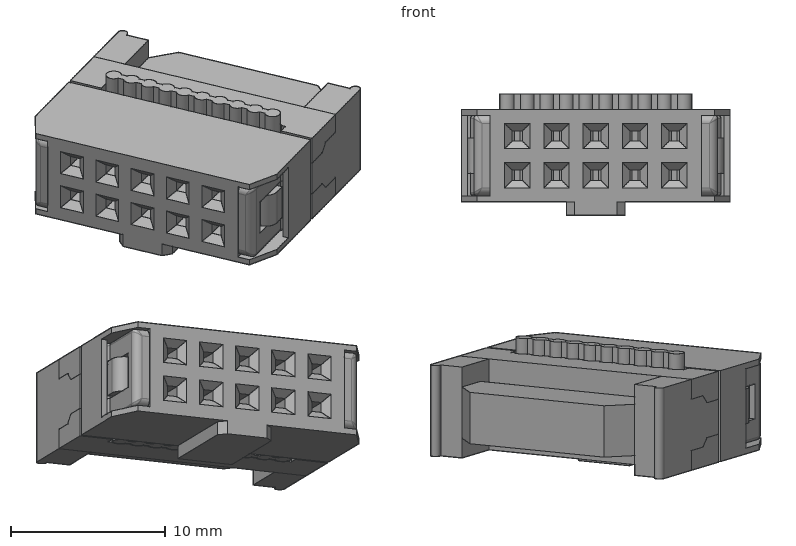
import cadquery as cq


WIDTH = 17.38
HALF_WIDTH = WIDTH / 2
HALF_HEIGHT = 2.99

HOUSING_DEPTH = 7.0
COVER_FRONT = 7.21
COVER_REAR = 10.7
BAR_FRONT = 11.8
RELIEF_REAR = 14.2
BAR_REAR = 15.7

CORNER_SETBACK_X = 1.0
CORNER_SETBACK_Y = 2.0
KEY_WIDTH = 3.79
KEY_HEIGHT = 0.87
KEY_CHAMFER = 0.5
POCKET_DEPTH = 3.68
SLOT_OUTER_INSET = 0.4

SOCKET_COLUMNS = 5
SOCKET_ROWS = 2
SOCKET_PITCH = 2.54
SOCKET_MOUTH = 1.63
SOCKET_BORE = 0.66
SOCKET_DEPTH = 3.48
SOCKET_END_WIDTH = 0.38
SOCKET_LEAD_IN = (SOCKET_MOUTH - SOCKET_BORE) / 2
SOCKET_END_TAPER = (SOCKET_BORE - SOCKET_END_WIDTH) / 2

TONGUE_HALF_HEIGHT = 2.6
TONGUE_ROOT_INSET = 0.59
TONGUE_INSET = 0.8
TONGUE_INNER_INSET = 1.85
TONGUE_TIP = 0.07
TONGUE_SLOPE_START = 4.17
TONGUE_SLOPE_END = 4.48
TONGUE_NOSE_RADIUS = 0.52
TONGUE_EDGE_RADIUS = 0.2

CABLE_SLOT_HALF_WIDTH = 6.45

ARM_INNER_INSET = 1.2
ARM_TIP = 2.03
HOOK_INSET = 0.4
HOOK_REAR = 3.6
ARM_WIDE_HALF_HEIGHT = 1.69
ARM_HALF_HEIGHT = 1.15
ARM_TAPER_START = 8.72
ARM_TAPER_END = 9.25
CHANNEL_FRONT = 1.15

BAR_HALF_HEIGHT = 1.69
BAR_REAR_HALF_WIDTH = 5.0
BEAD_RADIUS = 0.33
BEAD_CENTER_Y = 14.3

WIRE_COUNT = 10
WIRE_PITCH = 1.27
WIRE_RADIUS = 0.5
WIRE_CENTER_Y = HOUSING_DEPTH + WIRE_RADIUS
WEB_THICKNESS = 0.5
CABLE_TOP = 4.0
GROOVE_RADIUS = 0.59
CABLE_SLOT_REAR = 7.87


def box(x_range, y_range, z_range):
    """Axis-aligned block between the given limits."""
    x0, x1 = x_range
    y0, y1 = y_range
    z0, z1 = z_range
    return cq.Workplane("XY").box(x1 - x0, y1 - y0, z1 - z0, centered=False).translate((x0, y0, z0))


def plate(points, half_height):
    """Outline in XY extruded symmetrically about Z = 0."""
    return cq.Workplane("XY").polyline(points).close().extrude(half_height, both=True)


def both_sides(left):
    """A left-hand feature together with its mirror image."""
    return left.add(left.mirror("YZ")).combine()


def left_x(inset):
    """X of a plane lying the given distance inward from the left side face."""
    return inset - HALF_WIDTH


def wire_positions():
    """X of every wire axis."""
    first = -(WIRE_COUNT - 1) / 2 * WIRE_PITCH
    return [first + i * WIRE_PITCH for i in range(WIRE_COUNT)]


def housing_block():
    """Rectangular block with its two front corners cut back."""
    front_half_width = HALF_WIDTH - CORNER_SETBACK_X
    return plate(
        [
            (-HALF_WIDTH, HOUSING_DEPTH),
            (-HALF_WIDTH, CORNER_SETBACK_Y),
            (-front_half_width, 0),
            (front_half_width, 0),
            (HALF_WIDTH, CORNER_SETBACK_Y),
            (HALF_WIDTH, HOUSING_DEPTH),
        ],
        HALF_HEIGHT,
    )


def polarizing_key():
    """Key along the underside with chamfered front corners."""
    key = box(
        (-KEY_WIDTH / 2, KEY_WIDTH / 2),
        (0, HOUSING_DEPTH),
        (-HALF_HEIGHT - KEY_HEIGHT, -HALF_HEIGHT),
    )
    return key.edges("|Z and <Y").chamfer(KEY_CHAMFER)


def tongue_openings():
    """Open side pockets at the front and the slots leading to them from the rear."""
    z_range = (-TONGUE_HALF_HEIGHT, TONGUE_HALF_HEIGHT)
    inner = left_x(TONGUE_INNER_INSET)
    pocket = box((left_x(0), inner), (0, POCKET_DEPTH), z_range)
    slot = box((left_x(SLOT_OUTER_INSET), inner), (0, HOUSING_DEPTH), z_range)
    return both_sides(pocket.union(slot))


def socket():
    """Square contact hole: flared mouth, straight bore, end narrowed across X."""
    straight_end = SOCKET_DEPTH - SOCKET_END_TAPER
    mouth = (
        cq.Workplane("XZ")
        .rect(SOCKET_MOUTH, SOCKET_MOUTH)
        .workplane(offset=-SOCKET_LEAD_IN)
        .rect(SOCKET_BORE, SOCKET_BORE)
        .loft(ruled=True)
    )
    bore = plate(
        [
            (-SOCKET_BORE / 2, 0),
            (SOCKET_BORE / 2, 0),
            (SOCKET_BORE / 2, straight_end),
            (SOCKET_END_WIDTH / 2, SOCKET_DEPTH),
            (-SOCKET_END_WIDTH / 2, SOCKET_DEPTH),
            (-SOCKET_BORE / 2, straight_end),
        ],
        SOCKET_BORE / 2,
    )
    return mouth.union(bore)


def make_housing():
    """Socket housing with key, side openings and a grid of contact holes."""
    body = housing_block().union(polarizing_key()).cut(tongue_openings())
    hole = socket()
    for column in range(SOCKET_COLUMNS):
        for row in range(SOCKET_ROWS):
            x = (column - (SOCKET_COLUMNS - 1) / 2) * SOCKET_PITCH
            z = (row - (SOCKET_ROWS - 1) / 2) * SOCKET_PITCH
            body = body.cut(hole.translate((x, 0, z)))
    return body


def latch_outer_line():
    """Outer line shared by left tongue and arm: root, sloped step and front stretch, rear to front."""
    return [
        (left_x(TONGUE_ROOT_INSET), COVER_FRONT),
        (left_x(TONGUE_ROOT_INSET), TONGUE_SLOPE_END),
        (left_x(TONGUE_INSET), TONGUE_SLOPE_START),
        (left_x(TONGUE_INSET), TONGUE_TIP),
    ]


def arm_side_profile(tip):
    """Left arm seen from the side, full thickness, from the cover rear to the given tip."""
    upper = [
        (COVER_REAR, ARM_WIDE_HALF_HEIGHT),
        (ARM_TAPER_END, ARM_WIDE_HALF_HEIGHT),
        (ARM_TAPER_START, ARM_HALF_HEIGHT),
        (tip, ARM_HALF_HEIGHT),
    ]
    lower = [(y, -z) for y, z in reversed(upper)]
    profile = cq.Workplane("YZ", origin=(left_x(0), 0, 0)).polyline(upper + lower).close()
    return profile.extrude(ARM_INNER_INSET)


def arm():
    """Left arm, flush with the tongue ahead of the cover, with an outward hook rounded off at its tip."""
    setback = plate(
        [(left_x(0), COVER_FRONT), *latch_outer_line(), (left_x(0), TONGUE_TIP)],
        ARM_HALF_HEIGHT,
    )
    tip_radius = ARM_INNER_INSET - HOOK_INSET
    inner_x = left_x(ARM_INNER_INSET)
    hook_x = left_x(HOOK_INSET)
    hook = (
        cq.Workplane("XY")
        .moveTo(inner_x, ARM_TIP)
        .radiusArc((hook_x, ARM_TIP + tip_radius), tip_radius)
        .lineTo(hook_x, HOOK_REAR)
        .lineTo(inner_x, HOOK_REAR)
        .close()
        .extrude(ARM_HALF_HEIGHT, both=True)
    )
    return arm_side_profile(HOOK_REAR).cut(setback).union(hook)


def tongue():
    """Left latch tongue: thick root, sloped step, rounded nose."""
    outline = plate(
        [
            (left_x(TONGUE_INNER_INSET), COVER_FRONT),
            *latch_outer_line(),
            (left_x(TONGUE_INNER_INSET), TONGUE_TIP),
        ],
        TONGUE_HALF_HEIGHT,
    )
    outline = outline.edges("|Z and <Y").edges("<X").fillet(TONGUE_NOSE_RADIUS)
    rounded_block = box(
        (left_x(0), left_x(TONGUE_INNER_INSET)),
        (TONGUE_TIP, COVER_FRONT),
        (-TONGUE_HALF_HEIGHT, TONGUE_HALF_HEIGHT),
    )
    rounded_block = rounded_block.edges("|X and <Y").fillet(TONGUE_NOSE_RADIUS)
    blank = outline.intersect(rounded_block)
    long_outer_edges = blank.edges("not (|X or |Z or >X)")
    return cq.Workplane(blank.val().fillet(TONGUE_EDGE_RADIUS, long_outer_edges.vals()))


def latch():
    """Left tongue with the channel for the arm and the pad bearing on the housing."""
    channel = box(
        (left_x(0), left_x(ARM_INNER_INSET)),
        (CHANNEL_FRONT, COVER_FRONT),
        (-ARM_HALF_HEIGHT, ARM_HALF_HEIGHT),
    )
    pad = box(
        (left_x(TONGUE_INNER_INSET), -CABLE_SLOT_HALF_WIDTH),
        (HOUSING_DEPTH, COVER_FRONT),
        (-TONGUE_HALF_HEIGHT, TONGUE_HALF_HEIGHT),
    )
    return tongue().cut(channel).union(pad)


def cable_slot():
    """Recess in the cover front with one groove per wire."""
    slot = box(
        (-CABLE_SLOT_HALF_WIDTH, CABLE_SLOT_HALF_WIDTH),
        (COVER_FRONT, CABLE_SLOT_REAR),
        (-HALF_HEIGHT, HALF_HEIGHT),
    )
    grooves = (
        cq.Workplane("XY")
        .pushPoints([(x, WIRE_CENTER_Y) for x in wire_positions()])
        .circle(GROOVE_RADIUS)
        .extrude(HALF_HEIGHT, both=True)
    )
    return slot.union(grooves)


def make_cover():
    """Clamping cover: bar with cable recess, arm channels and a latch at each end."""
    bar = box((-HALF_WIDTH, HALF_WIDTH), (COVER_FRONT, COVER_REAR), (-HALF_HEIGHT, HALF_HEIGHT))
    bar = bar.cut(cable_slot()).cut(both_sides(arm_side_profile(COVER_FRONT)))
    return bar.union(both_sides(latch()))


def relief_end():
    """Left end block behind the cover, with a round bead along its outer rear edge."""
    bead_inner_x = left_x(2 * BEAD_RADIUS)
    return (
        cq.Workplane("XY")
        .moveTo(left_x(0), COVER_REAR)
        .lineTo(left_x(0), BEAD_CENTER_Y)
        .radiusArc((bead_inner_x, BEAD_CENTER_Y), BEAD_RADIUS)
        .lineTo(bead_inner_x, RELIEF_REAR)
        .lineTo(-CABLE_SLOT_HALF_WIDTH, RELIEF_REAR)
        .lineTo(-CABLE_SLOT_HALF_WIDTH, COVER_REAR)
        .close()
        .extrude(HALF_HEIGHT, both=True)
    )


def make_strain_relief():
    """Rear bar joining two end blocks, each carrying a forward arm."""
    bar = plate(
        [
            (-CABLE_SLOT_HALF_WIDTH, BAR_FRONT),
            (-CABLE_SLOT_HALF_WIDTH, RELIEF_REAR),
            (-BAR_REAR_HALF_WIDTH, BAR_REAR),
            (BAR_REAR_HALF_WIDTH, BAR_REAR),
            (CABLE_SLOT_HALF_WIDTH, RELIEF_REAR),
            (CABLE_SLOT_HALF_WIDTH, BAR_FRONT),
        ],
        BAR_HALF_HEIGHT,
    )
    return bar.union(both_sides(relief_end().union(arm())))


def make_ribbon_cable():
    """Row of round wires joined by thin webs, ending flush with the underside."""
    xs = wire_positions()
    cable = box(
        (xs[0], xs[-1]),
        (WIRE_CENTER_Y - WEB_THICKNESS / 2, WIRE_CENTER_Y + WEB_THICKNESS / 2),
        (-HALF_HEIGHT, CABLE_TOP),
    )
    wires = (
        cq.Workplane("XY", origin=(0, 0, -HALF_HEIGHT))
        .pushPoints([(x, WIRE_CENTER_Y) for x in xs])
        .circle(WIRE_RADIUS)
        .extrude(HALF_HEIGHT + CABLE_TOP)
    )
    return cable.union(wires)


housing = make_housing()
cover = make_cover()
strain_relief = make_strain_relief()
ribbon_cable = make_ribbon_cable()

bodies = [housing, cover, strain_relief, ribbon_cable]
result = cq.Compound.makeCompound([body.solids().val() for body in bodies])